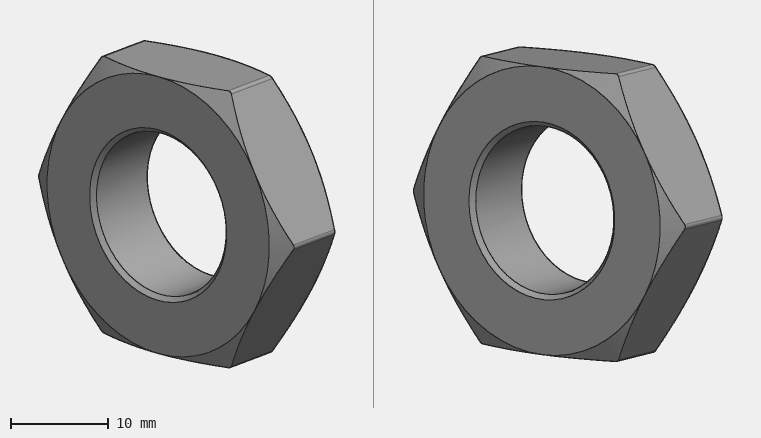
import cadquery as cq
import math

side_count = 6
across_flats = 30.0
thickness = 9.0
edge_radius = 0.5
bore_diameter = 17.5
bore_mouth_diameter = 18.5
bore_chamfer_angle = 45.0
corner_chamfer_angle = 30.0

across_corners = across_flats / math.cos(math.pi / side_count)
half_thickness = thickness / 2
bore_chamfer_width = (bore_mouth_diameter - bore_diameter) / 2
bore_chamfer_depth = bore_chamfer_width * math.tan(math.radians(bore_chamfer_angle))


def revolve_about_y(profile):
    """Revolve a closed XY profile (radius, axial position) about the Y axis."""
    full_turn = 360
    return profile.close().revolve(full_turn, (0, 0, 0), (0, 1, 0))


def hexagon_body():
    """Hexagonal prism centred on the origin, with rounded long edges."""
    prism = cq.Workplane("XZ").polygon(side_count, across_corners).extrude(half_thickness, both=True)
    return prism.edges("|Y").fillet(edge_radius)


def corner_chamfer_envelope():
    """Double cone whose end faces touch the flats and whose slopes trim the corners."""
    face_radius = across_flats / 2
    rim_radius = across_corners / 2
    chamfer_depth = (rim_radius - face_radius) * math.tan(math.radians(corner_chamfer_angle))
    rim_height = half_thickness - chamfer_depth
    return revolve_about_y(
        cq.Workplane("XY")
        .moveTo(0, -half_thickness)
        .lineTo(face_radius, -half_thickness)
        .lineTo(rim_radius, -rim_height)
        .lineTo(rim_radius, rim_height)
        .lineTo(face_radius, half_thickness)
        .lineTo(0, half_thickness)
    )


def bore_cutter():
    """Through bore, countersunk at both ends."""
    bore_radius = bore_diameter / 2
    mouth_radius = bore_mouth_diameter / 2
    straight_height = half_thickness - bore_chamfer_depth
    return revolve_about_y(
        cq.Workplane("XY")
        .moveTo(0, -half_thickness)
        .lineTo(mouth_radius, -half_thickness)
        .lineTo(bore_radius, -straight_height)
        .lineTo(bore_radius, straight_height)
        .lineTo(mouth_radius, half_thickness)
        .lineTo(0, half_thickness)
    )


result = hexagon_body().intersect(corner_chamfer_envelope()).cut(bore_cutter())